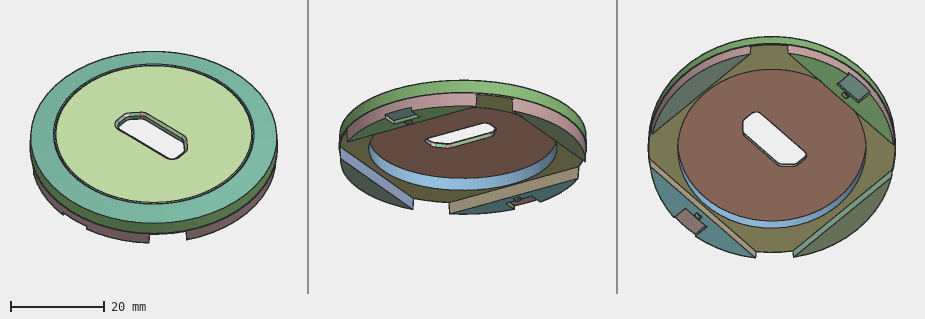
import cadquery as cq
import math

CAVITY_TOP = 2.75
SKIRT_TOP = 3.05
RIM_TOP = 6.1
COVER_TOP = 7.05
PLATE_THICKNESS = 1.45

SKIRT_BOTTOM_RADIUS = 26.2
SKIRT_TOP_RADIUS = 26.35
MAX_RADIUS = 26.5
RIM_TOP_RADIUS = 26.35
CREST_RADIUS = 21.45

GROOVE_WIDTH = 0.55
GROOVE_DEPTH = 0.15

CAVITY_LENGTH = 43.45
CAVITY_WIDTH = 41.1

RELIEF_RADIUS = 20.15

SLOT_LENGTH = 16.2
SLOT_WIDTH = 6.45
SLOT_CORNER_CUT = 2.5
SLOT_BLEND_RADIUS = 1.45
BEVEL_WIDTH = 0.65
BEVEL_DEPTH = 0.5

TAB_RECESS_LENGTH = 6.55
TAB_RECESS_HEIGHT = 0.85
TAB_OUTER_FACE = 22.6
NUB_CENTER = 21.95
NUB_THICKNESS = 0.75
NUB_HEIGHT = 0.5
NUB_LENGTH = 1.6


def round_body():
    """Skirt, rim and sloping crown, revolved in one piece with the groove."""
    profile = [
        (0, 0),
        (SKIRT_BOTTOM_RADIUS, 0),
        (SKIRT_TOP_RADIUS, SKIRT_TOP),
        (MAX_RADIUS, SKIRT_TOP),
        (RIM_TOP_RADIUS, RIM_TOP),
        (CREST_RADIUS, COVER_TOP),
        (CREST_RADIUS - GROOVE_WIDTH / 2, COVER_TOP - GROOVE_DEPTH),
        (CREST_RADIUS - GROOVE_WIDTH, COVER_TOP),
        (0, COVER_TOP),
    ]
    return cq.Workplane("XZ").polyline(profile).close().revolve(360, (0, 0), (0, 1))


def hollow():
    """Rectangular cavity with a round relief above it."""
    cavity = cq.Workplane("XY").rect(CAVITY_LENGTH, CAVITY_WIDTH).extrude(CAVITY_TOP)
    relief = cq.Workplane("XY").circle(RELIEF_RADIUS).extrude(COVER_TOP - PLATE_THICKNESS)
    return cavity.union(relief)


def slot():
    """Through slot that widens in a bevel at the top face."""
    x = SLOT_LENGTH / 2
    y = SLOT_WIDTH / 2
    corners = [
        (-x, -y),
        (x, -y),
        (x, y - SLOT_CORNER_CUT),
        (x - SLOT_CORNER_CUT, y),
        (-x + SLOT_CORNER_CUT, y),
        (-x, y - SLOT_CORNER_CUT),
    ]
    straight = cq.Workplane("XY").polyline(corners).close().extrude(COVER_TOP)
    straight = straight.edges("|Z").fillet(SLOT_BLEND_RADIUS)
    bevel_angle = math.degrees(math.atan2(BEVEL_WIDTH, BEVEL_DEPTH))
    bevel = (
        straight.faces(">Z")
        .wires()
        .toPending()
        .workplane(offset=-BEVEL_DEPTH)
        .extrude(BEVEL_DEPTH, taper=-bevel_angle, combine=False)
        .translate((0, 0, -BEVEL_DEPTH))
    )
    return straight.union(bevel)


def tab_recess(side):
    """Shallow recess at the foot of the skirt, open to the outside."""
    depth = MAX_RADIUS - TAB_OUTER_FACE
    return (
        cq.Workplane("XY")
        .center(0, side * (TAB_OUTER_FACE + depth / 2))
        .rect(TAB_RECESS_LENGTH, depth)
        .extrude(TAB_RECESS_HEIGHT)
    )


def nub(side):
    """Small rounded nub hanging below the skirt."""
    return (
        cq.Workplane("XZ", origin=(0, side * NUB_CENTER, 0))
        .moveTo(-NUB_LENGTH / 2, 0)
        .threePointArc((0, -NUB_HEIGHT), (NUB_LENGTH / 2, 0))
        .close()
        .extrude(NUB_THICKNESS / 2, both=True)
    )


result = round_body().cut(hollow()).cut(slot())
for side in (-1, 1):
    result = result.cut(tab_recess(side)).union(nub(side))